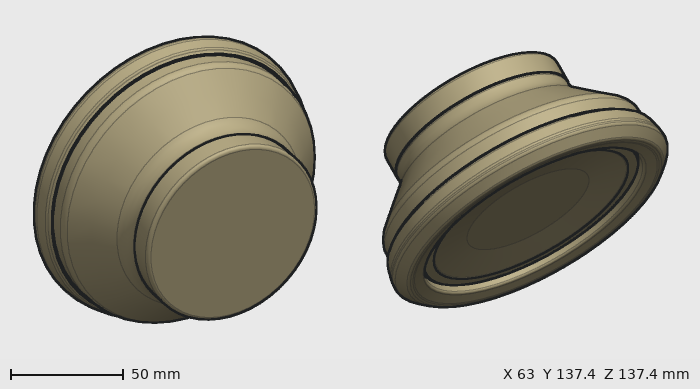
import cadquery as cq
import math


overall_length = 63.0
neck_radius = 87.0 / 2
neck_start = 51.4
neck_end_round = 1.8
throat_radius = 86.5 / 2
throat_step_chamfer = neck_radius - throat_radius
throat_flat = 1.0
shoulder_radius = 129.0 / 2
shoulder_start = 15.4
shoulder_round_start = 21.8
shoulder_round = 5.1
flare_angle = math.radians(45)

spigot_radius = 54.1
spigot_face = 4.8
spigot_chamfer = 0.7
dish_outer_radius = 48.6
dish_lip_radius = 47.8
dish_lip_depth = 0.3
dish_floor_radius = 30.5
dish_depth = 2.9

ring_radius = 68.7
front_inner_radius = 61.5
front_outer_radius = 62.8
bevel_angle = math.radians(45)
bevel_round = 2.0
crown_start = 5.9
crown_end = 6.7
taper_start_x = 8.0
taper_start_radius = 68.5
taper_end_x = 13.3
taper_end_radius = 67.3
back_edge_x = 14.3
back_edge_radius = 66.5
back_face_radius = 65.2
lip_top_x = 0.1
lip_top_radius = 60.7
lip_bottom_x = 1.2
lip_bottom_radius = 55.8
mouth_round_end_x = 2.3
mouth_radius = 54.5


def revolve_about_x(profile):
    return profile.close().revolve(360, (0, 0, 0), (1, 0, 0))


def arc_point(center_x, center_r, radius, angle):
    """Point on a profile arc, with the angle measured from the +radius direction toward +X."""
    return (center_x + radius * math.sin(angle), center_r + radius * math.cos(angle))


def make_body():
    shoulder_center = (shoulder_round_start, shoulder_radius - shoulder_round)
    flare_start = arc_point(*shoulder_center, shoulder_round, flare_angle)
    shoulder_mid = arc_point(*shoulder_center, shoulder_round, flare_angle / 2)

    throat_arc_end = neck_start - throat_step_chamfer - throat_flat
    flare_rise = flare_start[1] - throat_radius
    straight_flare_run = throat_arc_end - flare_start[0]
    throat_round = (straight_flare_run * math.tan(flare_angle) - flare_rise) / math.tan(flare_angle / 2)
    throat_round /= math.tan(flare_angle)
    throat_center = (throat_arc_end, throat_radius + throat_round)
    flare_end = arc_point(*throat_center, throat_round, math.pi + flare_angle)
    throat_mid = arc_point(*throat_center, throat_round, math.pi + flare_angle / 2)

    neck_round_center = (overall_length - neck_end_round, neck_radius - neck_end_round)
    neck_round_mid = arc_point(*neck_round_center, neck_end_round, math.radians(45))

    profile = (
        cq.Workplane("XY")
        .moveTo(spigot_face + dish_depth, 0)
        .lineTo(spigot_face + dish_depth, dish_floor_radius)
        .lineTo(spigot_face + dish_lip_depth, dish_lip_radius)
        .lineTo(spigot_face, dish_outer_radius)
        .lineTo(spigot_face, spigot_radius - spigot_chamfer)
        .lineTo(spigot_face + spigot_chamfer, spigot_radius)
        .lineTo(shoulder_start, spigot_radius)
        .lineTo(shoulder_start, shoulder_radius)
        .lineTo(shoulder_round_start, shoulder_radius)
        .threePointArc(shoulder_mid, flare_start)
        .lineTo(*flare_end)
        .threePointArc(throat_mid, (throat_arc_end, throat_radius))
        .lineTo(neck_start - throat_step_chamfer, throat_radius)
        .lineTo(neck_start, neck_radius)
        .lineTo(overall_length - neck_end_round, neck_radius)
        .threePointArc(neck_round_mid, (overall_length, neck_radius - neck_end_round))
        .lineTo(overall_length, 0)
    )
    return revolve_about_x(profile)


def make_ring():
    round_long = bevel_round * math.sin(bevel_angle)
    round_short = bevel_round * (1 - math.cos(bevel_angle))
    profile = (
        cq.Workplane("XY")
        .moveTo(shoulder_start, spigot_radius)
        .lineTo(spigot_face + spigot_chamfer, spigot_radius)
        .lineTo(mouth_round_end_x, mouth_radius)
        .tangentArcPoint((lip_bottom_x, lip_bottom_radius), relative=False)
        .lineTo(lip_top_x, lip_top_radius)
        .lineTo(0, front_inner_radius)
        .lineTo(0, front_outer_radius)
        .tangentArcPoint((round_short, front_outer_radius + round_long), relative=False)
        .lineTo(crown_start - round_long, ring_radius - round_short)
        .tangentArcPoint((crown_start, ring_radius), relative=False)
        .lineTo(crown_end, ring_radius)
        .tangentArcPoint((taper_start_x, taper_start_radius), relative=False)
        .lineTo(taper_end_x, taper_end_radius)
        .tangentArcPoint((back_edge_x, back_edge_radius), relative=False)
        .lineTo(shoulder_start, back_face_radius)
    )
    return revolve_about_x(profile)


body = make_body()
ring = make_ring()

result = cq.Compound.makeCompound([body.val(), ring.val()])